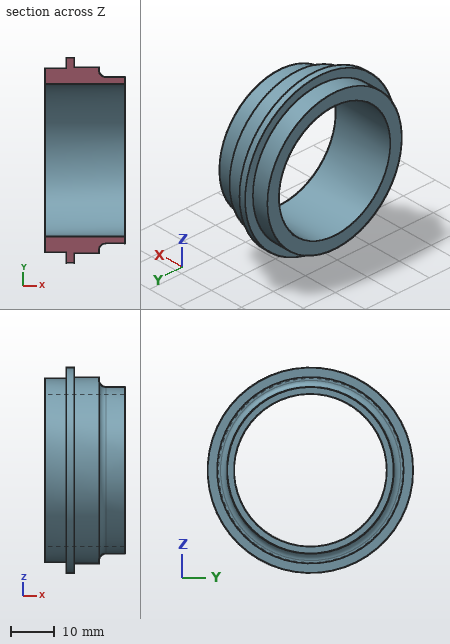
import cadquery as cq

bore_radius = 34.8 / 2
rear_radius = 42.05 / 2
flange_radius = 46.95 / 2
shoulder_radius = 42.57 / 2
neck_radius = 38.1 / 2

flange_start = 4.85
flange_end = 6.7
shoulder_end = 12.35
length = 18.25

fillet_radius = 1.5
end_chamfer = 0.1

section = (
    cq.Workplane("XY")
    .moveTo(0, bore_radius)
    .lineTo(0, rear_radius)
    .lineTo(flange_start, rear_radius)
    .lineTo(flange_start, flange_radius)
    .lineTo(flange_end, flange_radius)
    .lineTo(flange_end, shoulder_radius)
    .lineTo(shoulder_end, shoulder_radius)
    .lineTo(shoulder_end, neck_radius + fillet_radius)
    .radiusArc((shoulder_end + fillet_radius, neck_radius), -fillet_radius)
    .lineTo(length - end_chamfer, neck_radius)
    .lineTo(length, neck_radius - end_chamfer)
    .lineTo(length, bore_radius)
    .close()
)

result = section.revolve(360, (0, 0, 0), (1, 0, 0))